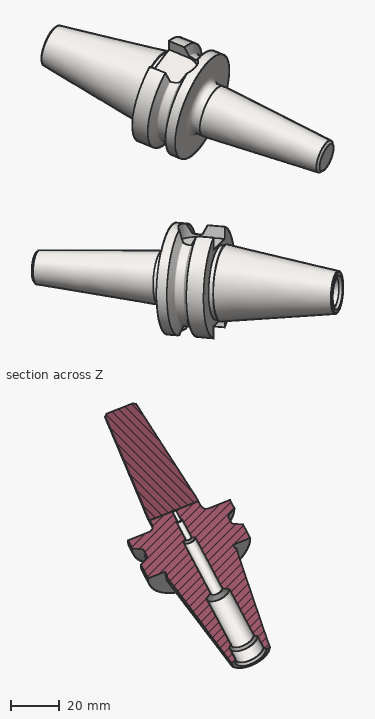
import cadquery as cq
import math


gauge_radius = 31.75 / 2
taper_length = 48.4
taper_ratio = 7 / 24
shank_end_chamfer = 0.4
neck_radius = 15.4

flange_radius = 46 / 2
flange_start = 2.0
flange_end = 22.0
groove_center = 13.4
groove_floor_radius = 19.1
groove_floor_width = 3.8
groove_side_angle = math.radians(30)
groove_corner_fillet = 0.5
groove_cutter_clearance = 1.0

slot_width = 16.1
slot_floor_height = 16.3
slot_end = 19.1

nose_radius = 11.0
nose_root_fillet = 2.5
nose_start = 26.9
nose_taper_start = 29.0
nose_taper_angle = math.radians(4.5)
nose_end = 80.0
nose_tip_chamfer = 1.0

mouth_radius = 7.0
counterbore_radius = 6.25
counterbore_depth = 7.0
thread_core_radius = 5.1
thread_core_depth = 32.0
passage_radius = 2.6
passage_depth = 60.0
orifice_radius = 1.25
orifice_depth = 70.0
outlet_radius = 0.75
mouth_half_angle = math.radians(30)
step_half_angle = math.radians(45)
drill_half_angle = math.radians(59)

shank_end = -taper_length


def revolve_about_x(points):
    """Revolve a closed outline of (x, radius) points about the X axis."""
    outline = cq.Workplane("XZ").polyline(points).close()
    return outline.revolve(360, (0, 0, 0), (1, 0, 0))


def cone_length(large_radius, small_radius, half_angle):
    return (large_radius - small_radius) / math.tan(half_angle)


def make_holder_blank():
    shank_end_radius = gauge_radius - taper_length * taper_ratio / 2
    chamfer_radius = shank_end_radius + shank_end_chamfer * taper_ratio / 2
    blank = revolve_about_x([
        (shank_end, 0),
        (shank_end, shank_end_radius - shank_end_chamfer),
        (shank_end + shank_end_chamfer, chamfer_radius),
        (0, gauge_radius),
        (0, neck_radius),
        (flange_start, neck_radius),
        (flange_start, flange_radius),
        (flange_end, flange_radius),
        (flange_end, nose_radius),
        (nose_start, nose_radius),
        (nose_start, 0),
    ])
    front_face = blank.faces(cq.selectors.NearestToPointSelector((flange_end, 0, 0)))
    nose_root = front_face.edges(cq.selectors.RadiusNthSelector(0))
    return nose_root.fillet(nose_root_fillet)


def make_gripper_groove():
    floor_half = groove_floor_width / 2
    side_run = (flange_radius - groove_floor_radius) * math.tan(groove_side_angle)
    mouth_half = floor_half + side_run
    clear_radius = flange_radius + groove_cutter_clearance
    groove = revolve_about_x([
        (groove_center - floor_half, groove_floor_radius),
        (groove_center + floor_half, groove_floor_radius),
        (groove_center + mouth_half, flange_radius),
        (groove_center + mouth_half, clear_radius),
        (groove_center - mouth_half, clear_radius),
        (groove_center - mouth_half, flange_radius),
    ])
    floor_edges = cq.selectors.RadiusNthSelector(0)
    return groove.edges("%CIRCLE").edges(floor_edges).fillet(groove_corner_fillet)


def make_drive_slot(side):
    """Slot in the flange at +Z (side = 1) or -Z (side = -1), with a round inner end."""
    half_width = slot_width / 2
    arc_center = slot_end - half_width
    return (
        cq.Workplane("XY")
        .workplane(offset=side * slot_floor_height)
        .moveTo(flange_start, -half_width)
        .lineTo(arc_center, -half_width)
        .threePointArc((slot_end, 0), (arc_center, half_width))
        .lineTo(flange_start, half_width)
        .close()
        .extrude(side * (flange_radius - slot_floor_height))
    )


def make_bore():
    mouth_end = shank_end + cone_length(mouth_radius, counterbore_radius, mouth_half_angle)
    counterbore_end = shank_end + counterbore_depth
    core_start = counterbore_end + cone_length(counterbore_radius, thread_core_radius, step_half_angle)
    core_end = shank_end + thread_core_depth
    passage_start = core_end + cone_length(thread_core_radius, passage_radius, drill_half_angle)
    passage_end = shank_end + passage_depth
    orifice_start = passage_end + cone_length(passage_radius, orifice_radius, drill_half_angle)
    orifice_end = shank_end + orifice_depth
    return revolve_about_x([
        (shank_end, 0),
        (shank_end, mouth_radius),
        (mouth_end, counterbore_radius),
        (counterbore_end, counterbore_radius),
        (core_start, thread_core_radius),
        (core_end, thread_core_radius),
        (passage_start, passage_radius),
        (passage_end, passage_radius),
        (orifice_start, orifice_radius),
        (orifice_end, orifice_radius),
        (orifice_end, outlet_radius),
        (nose_start, outlet_radius),
        (nose_start, 0),
    ])


def make_holder():
    holder = make_holder_blank().cut(make_gripper_groove())
    for side in (1, -1):
        holder = holder.cut(make_drive_slot(side))
    return holder.cut(make_bore())


def make_nose():
    """Solid nose that carries on the short stub in front of the flange."""
    taper_slope = math.tan(nose_taper_angle)
    tip_radius = nose_radius - (nose_end - nose_taper_start) * taper_slope
    return revolve_about_x([
        (nose_start, 0),
        (nose_start, nose_radius),
        (nose_taper_start, nose_radius),
        (nose_end - nose_tip_chamfer, tip_radius + nose_tip_chamfer * taper_slope),
        (nose_end, tip_radius - nose_tip_chamfer),
        (nose_end, 0),
    ])


holder = make_holder()
nose = make_nose()
result = cq.Compound.makeCompound([holder.val(), nose.val()])